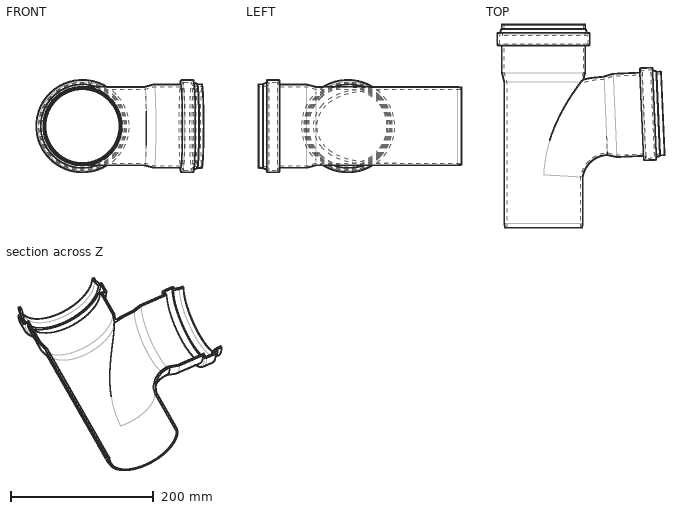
import cadquery as cq
import math


pipe_radius = 110.1 / 2
bore_radius = 103.3 / 2
total_length = 284.5

spigot_length = 152.9
bevel_length = 6.2
bevel_end_radius = 108.2 / 2

socket_length = 80.4
socket_wall = 3.1
taper_length = 13.1
socket_radius = 117 / 2
mouth_radius = 117.4 / 2
bead_radius = 129.6 / 2
neck_radius = 118.8 / 2
collar_radius = 122.2 / 2
rim_chamfer_depth = 1.0
rim_chamfer_inset = 0.2
lip_depth = 6.3
neck_depth = 7.0
bead_front_depth = 11.8
bead_back_depth = 29.8
bead_front_rounding = 1.5
bead_back_rounding = 2.4

branch_tilt = math.radians(2.5)
bend_start_tilt = math.radians(5.5)
branch_reach = 86.82
bend_radius = branch_reach / (math.cos(bend_start_tilt) - math.sin(branch_tilt))
branch_rise = branch_reach * math.tan(branch_tilt)
bend_center = (
    bend_radius * math.cos(bend_start_tilt),
    branch_rise - bend_radius * math.cos(branch_tilt),
)
bend_start = (0, bend_center[1] + bend_radius * math.sin(bend_start_tilt))
bend_sweep = math.pi / 2 - branch_tilt - bend_start_tilt

main_socket_start = total_length - spigot_length - socket_length


def revolve_about_y(profile):
    """Turn a closed half profile, drawn with radius along X, about the Y axis."""
    return profile.close().revolve(360, (0, 0, 0), (0, 1, 0))


def socket_body():
    """Solid outside of a socket; the pipe end is at Y = 0 and the mouth faces +Y."""

    def at_depth(depth):
        return socket_length - depth

    profile = (
        cq.Workplane("XY")
        .lineTo(pipe_radius, 0)
        .lineTo(socket_radius, taper_length)
        .lineTo(socket_radius, at_depth(bead_back_depth))
        .lineTo(bead_radius - bead_back_rounding, at_depth(bead_back_depth))
        .radiusArc((bead_radius, at_depth(bead_back_depth - bead_back_rounding)), -bead_back_rounding)
        .lineTo(bead_radius, at_depth(bead_front_depth + bead_front_rounding))
        .radiusArc((bead_radius - bead_front_rounding, at_depth(bead_front_depth)), -bead_front_rounding)
        .lineTo(collar_radius, at_depth(bead_front_depth))
        .lineTo(neck_radius, at_depth(neck_depth))
        .lineTo(mouth_radius, at_depth(lip_depth))
        .lineTo(mouth_radius, at_depth(rim_chamfer_depth))
        .lineTo(mouth_radius - rim_chamfer_inset, socket_length)
        .lineTo(0, socket_length)
    )
    return revolve_about_y(profile)


def socket_cavity():
    """Inside of a socket: the outside followed at wall thickness, with the seal groove in the bead."""
    groove_back = socket_length - bead_back_depth + socket_wall
    groove_front = socket_length - bead_front_depth - socket_wall
    profile = (
        cq.Workplane("XY")
        .lineTo(bore_radius, 0)
        .lineTo(socket_radius - socket_wall, taper_length)
        .lineTo(socket_radius - socket_wall, groove_back)
        .lineTo(bead_radius - socket_wall, groove_back)
        .lineTo(bead_radius - socket_wall, groove_front)
        .lineTo(collar_radius - socket_wall, groove_front)
        .lineTo(mouth_radius - socket_wall, socket_length - neck_depth)
        .lineTo(mouth_radius - socket_wall, socket_length)
        .lineTo(0, socket_length)
    )
    return revolve_about_y(profile)


def place_on_main(socket):
    return socket.translate((0, main_socket_start, 0))


def place_on_branch(socket):
    turn = math.degrees(branch_tilt) - 90
    return socket.rotate((0, 0, 0), (0, 0, 1), turn).translate((branch_reach, branch_rise, 0))


def main_pipe_body():
    """Solid outside of the main run with the bevelled spigot end."""
    profile = (
        cq.Workplane("XY")
        .moveTo(0, -spigot_length)
        .lineTo(bevel_end_radius, -spigot_length)
        .lineTo(pipe_radius, bevel_length - spigot_length)
        .lineTo(pipe_radius, main_socket_start)
        .lineTo(0, main_socket_start)
    )
    return revolve_about_y(profile)


def main_pipe_bore():
    profile = (
        cq.Workplane("XY")
        .moveTo(0, -spigot_length)
        .lineTo(bore_radius, -spigot_length)
        .lineTo(bore_radius, main_socket_start)
        .lineTo(0, main_socket_start)
    )
    return revolve_about_y(profile)


def bend(radius):
    """Round bar of the given radius that curves from the main axis to the branch socket."""
    section = cq.Plane(
        origin=(bend_start[0], bend_start[1], 0),
        xDir=(math.cos(bend_start_tilt), -math.sin(bend_start_tilt), 0),
        normal=(math.sin(bend_start_tilt), math.cos(bend_start_tilt), 0),
    )
    return (
        cq.Workplane(section)
        .circle(radius)
        .revolve(math.degrees(bend_sweep), (bend_radius, 0, 0), (bend_radius, 1, 0))
    )


outside = (
    main_pipe_body()
    .union(bend(pipe_radius))
    .union(place_on_main(socket_body()))
    .union(place_on_branch(socket_body()))
)

result = (
    outside.cut(main_pipe_bore())
    .cut(bend(bore_radius))
    .cut(place_on_main(socket_cavity()))
    .cut(place_on_branch(socket_cavity()))
)